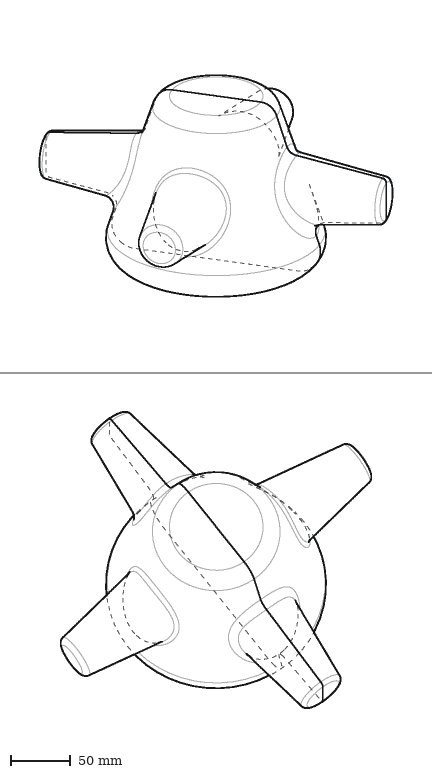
import cadquery as cq

span = 300.0
height = span / 2
arm_height = height / 2

hub_base_radius = 100.0
hub_top_radius = hub_base_radius / 2
hub_base_fillet = 20.0
hub_top_fillet = 15.0

x_arm_inner_radius = 40.0
x_arm_tip_radius = 20.0
x_arm_tip_fillet = 4.0
x_arm_root_fillet = 10.0

y_arm_inner_radius = 43.5
y_arm_tip_radius = 18.5
y_arm_tip_fillet = 5.0
y_arm_root_fillet = 5.0

up = cq.Vector(0, 0, 1)


def make_hub():
    """Solid cone with its base and top edges rounded."""
    cone = cq.Workplane(cq.Solid.makeCone(hub_base_radius, hub_top_radius, height))
    return cone.faces("<Z").edges().fillet(hub_base_fillet).faces(">Z").edges().fillet(hub_top_fillet)


def make_arm(direction, inner_radius, tip_radius, tip_fillet):
    """Tapered arm from the hub axis outward, with a rounded tip."""
    arm = cq.Solid.makeCone(inner_radius, tip_radius, span / 2, up * arm_height, direction)
    tip_edge = max(
        (edge for edge in arm.Edges() if edge.geomType() == "CIRCLE"),
        key=lambda edge: edge.Center().dot(direction),
    )
    return cq.Workplane(arm.fillet(tip_fillet, [tip_edge]))


def add_arm(body, direction, inner_radius, tip_radius, tip_fillet, root_fillet):
    """Join one arm to the body and blend its root into the hub."""
    joined = body.union(make_arm(direction, inner_radius, tip_radius, tip_fillet))
    root_edges = [
        edge for edge in joined.edges().vals()
        if edge.geomType() not in ("CIRCLE", "LINE")
        and edge.Center().dot(direction) > inner_radius
    ]
    return cq.Workplane(joined.val().fillet(root_fillet, root_edges))


def make_whole():
    """Hub with all four arms, before it is parted."""
    whole = make_hub()
    for side in (1, -1):
        x_direction = cq.Vector(side, 0, 0)
        y_direction = cq.Vector(0, side, 0)
        whole = add_arm(
            whole, x_direction, x_arm_inner_radius, x_arm_tip_radius, x_arm_tip_fillet, x_arm_root_fillet
        )
        whole = add_arm(
            whole, y_direction, y_arm_inner_radius, y_arm_tip_radius, y_arm_tip_fillet, y_arm_root_fillet
        )
    return whole


def make_half(whole, side):
    """Half of the whole on one side (+1 or -1) of the parting plane Y = 0."""
    half_space = cq.Workplane().box(2 * span, span, 2 * span).translate((0, side * span / 2, 0))
    return whole.intersect(half_space)


whole_shape = make_whole()
front_half = make_half(whole_shape, -1)
rear_half = make_half(whole_shape, 1)

result = cq.Compound.makeCompound([front_half.val(), rear_half.val()])